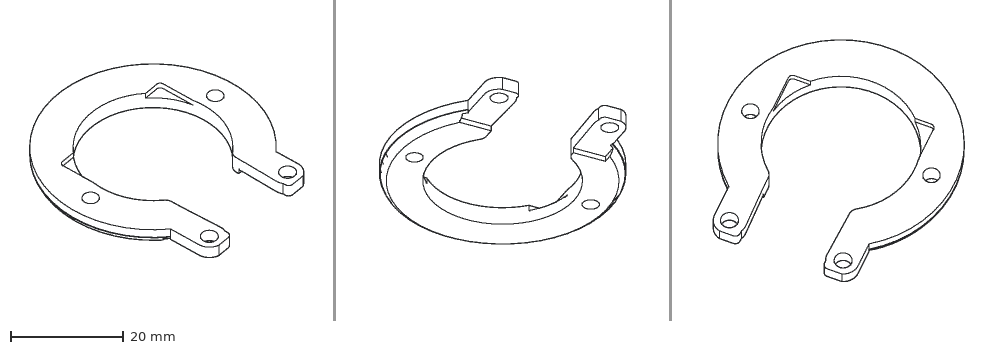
import cadquery as cq
import math

overall_length = 47.6
outer_radius = 22.0
inner_radius = 14.25
thickness = 3.5
rim_height = 1.95
rim_step = 0.15
bottom_inset = 1.1

undercut_x = 13.9
undercut_half_width = 14.5

arm_axis_y = -0.95
arm_thickness = 2.5
arm_inner = 8.15
arm_hole_x = 22.8
arm_hole_offset = 11.0
tip_radius = 2.9
bulge_radius = 3.15
bulge_start_x = undercut_x
upper_tip_x = 25.55
lower_tip_x = overall_length - outer_radius
tip_corner_radius = 0.95
throat_radius = 1.9

ring_hole_diameter = 3.1
ring_hole_offset = 17.5
arm_hole_diameter = 3.2
pocket_left_x = -10.0
pocket_half_width = 14.05
pocket_depth = 1.15
pocket_corner_radius = 0.8

reach = 0.48


def ring_body():
    """Full ring with a stepped-in, rounded lower edge."""
    lower_radius = outer_radius - rim_step
    round_height = thickness - rim_height
    round_radius = (round_height**2 + bottom_inset**2) / (2 * bottom_inset)
    half_sweep = math.atan2(bottom_inset, round_height)
    arc_middle = (
        lower_radius - round_radius * (1 - math.cos(half_sweep)),
        -rim_height - round_radius * math.sin(half_sweep),
    )
    return (
        cq.Workplane("XZ")
        .moveTo(inner_radius, 0)
        .lineTo(outer_radius, 0)
        .lineTo(outer_radius, -rim_height)
        .lineTo(lower_radius, -rim_height)
        .threePointArc(arc_middle, (lower_radius - bottom_inset, -thickness))
        .lineTo(inner_radius, -thickness)
        .close()
        .revolve(360, (0, 0), (0, 1))
    )


def block(x0, x1, y0, y1, z0, z1):
    """Rectangular block between the given limits."""
    return cq.Workplane("XY").box(x1 - x0, y1 - y0, z1 - z0, centered=False).translate((x0, y0, z0))


def mouth():
    """Opening between the two arms, cut through the ring."""
    return block(0, outer_radius, arm_axis_y - arm_inner, arm_axis_y + arm_inner, -thickness, 0)


def near(x, y):
    """Selector for vertical edges close to the point (x, y)."""
    return cq.selectors.BoxSelector(
        (x - reach, y - reach, -thickness), (x + reach, y + reach, thickness)
    )


def arm(side, tip_x):
    """Arm on one side (+1 upper, -1 lower) of the arm axis, ending at tip_x."""
    def place(x, offset):
        return (x, arm_axis_y + side * offset)

    outer = arm_hole_offset + tip_radius
    root_x = math.sqrt(outer_radius**2 - place(0, outer)[1] ** 2)
    inner_root_x = math.sqrt(inner_radius**2 - place(0, arm_inner)[1] ** 2)
    tip_reach = tip_x - arm_hole_x
    tip_rise = math.sqrt(tip_radius**2 - tip_reach**2)
    half_angle = (math.pi / 2 + math.asin(tip_rise / tip_radius)) / 2
    body = (
        cq.Workplane("XY")
        .moveTo(*place(inner_root_x, arm_inner))
        .lineTo(*place(tip_x, arm_inner))
        .lineTo(*place(tip_x, arm_hole_offset + tip_rise))
        .threePointArc(
            place(arm_hole_x + tip_radius * math.cos(half_angle),
                  arm_hole_offset + tip_radius * math.sin(half_angle)),
            place(arm_hole_x, outer),
        )
        .lineTo(*place(root_x, outer))
        .close()
        .extrude(-arm_thickness)
    )
    corner = place(tip_x, arm_inner)
    body = body.edges("|Z").edges(near(*corner)).fillet(tip_corner_radius)

    run = arm_hole_x - bulge_start_x
    rise = arm_hole_offset - arm_inner
    exit_x = arm_hole_x + math.sqrt(bulge_radius**2 - rise**2)
    tangent_angle = math.pi + math.atan2(rise, run) + math.acos(bulge_radius / math.hypot(run, rise))
    bulge = (
        cq.Workplane("XY")
        .moveTo(*place(bulge_start_x, arm_inner))
        .lineTo(*place(arm_hole_x + bulge_radius * math.cos(tangent_angle),
                       arm_hole_offset + bulge_radius * math.sin(tangent_angle)))
        .threePointArc(place(arm_hole_x, arm_hole_offset - bulge_radius), place(exit_x, arm_inner))
        .lineTo(*place(arm_hole_x, arm_hole_offset))
        .close()
        .extrude(-arm_thickness)
    )
    return body.union(bulge)


def undercut():
    """Space below both arm roots."""
    bottom_y = arm_axis_y - undercut_half_width
    top_y = arm_axis_y + undercut_half_width
    return block(undercut_x, outer_radius, bottom_y, top_y, -thickness, -arm_thickness)


def pocket(side):
    """Shallow corner pocket opening into the bore."""
    return (
        cq.Workplane("XY")
        .moveTo(0, 0)
        .lineTo(0, side * pocket_half_width)
        .lineTo(pocket_left_x, side * pocket_half_width)
        .lineTo(pocket_left_x, 0)
        .close()
        .extrude(-pocket_depth)
        .edges("|Z and <X")
        .edges(">Y" if side > 0 else "<Y")
        .fillet(pocket_corner_radius)
    )


def holes(x, offset, centre_y, diameter):
    """Pair of through holes either side of centre_y."""
    return (
        cq.Workplane("XY")
        .pushPoints([(x, centre_y + offset), (x, centre_y - offset)])
        .circle(diameter / 2)
        .extrude(-thickness)
    )


def round_throat(body):
    """Round the corners where the bore meets the arms."""
    for side in (1, -1):
        y = arm_axis_y + side * arm_inner
        x = math.sqrt(inner_radius**2 - y**2)
        body = body.edges("|Z").edges(near(x, y)).fillet(throat_radius)
    return body


result = ring_body().cut(mouth())
result = result.union(arm(1, upper_tip_x)).union(arm(-1, lower_tip_x))
result = round_throat(result)
result = result.cut(undercut())
for pocket_side in (1, -1):
    result = result.cut(pocket(pocket_side))
result = result.cut(holes(0, ring_hole_offset, 0, ring_hole_diameter))
result = result.cut(holes(arm_hole_x, arm_hole_offset, arm_axis_y, arm_hole_diameter))